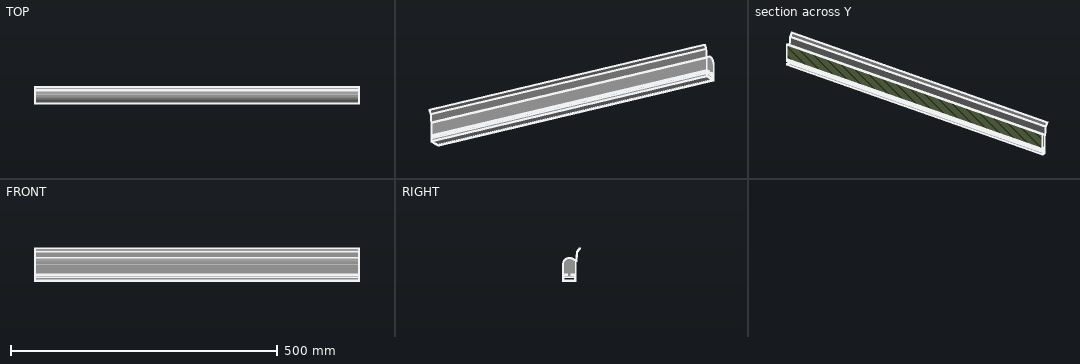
import cadquery as cq
import math

length = 609.5
width = 24.5

channel_height = 13.0
wall = 2.0
slot_width = 7.5

foot_bottom = 7.5
dome_start = 32.0
dome_radius = width / 2
roof_angle = math.radians(27.5)

fin_thickness = 1.0
fin_base_y = 25.5
fin_base_z = 38.0
fin_bend_y = 27.5
fin_bend_z = 55.0
fin_tip_y = 32.5
fin_tip_z = 62.0

roof_start_y = dome_radius * (1 + math.sin(roof_angle))
roof_start_z = dome_start + dome_radius * math.cos(roof_angle)
roof_end_z = roof_start_z - (width - roof_start_y) * math.tan(roof_angle)

tip_lean = math.atan2(fin_tip_y - fin_bend_y, fin_tip_z - fin_bend_z)
tip_front_y = fin_tip_y - fin_thickness * math.cos(tip_lean)
tip_back_z = fin_tip_z - fin_thickness * math.sin(tip_lean)

middle_y = width / 2
lip_bottom = channel_height - wall
slot_front = middle_y - slot_width / 2
slot_back = middle_y + slot_width / 2


def block(y_min, y_max, z_min, z_max):
    """Full-length rectangular block between the given Y and Z limits."""
    return cq.Workplane("XY").box(length, y_max - y_min, z_max - z_min, centered=False).translate(
        (0, y_min, z_min)
    )


def make_channel():
    """Hollow channel with a slot between the lips along its top."""
    outside = block(0, width, 0, channel_height)
    cavity = block(wall, width - wall, wall, lip_bottom)
    slot = block(slot_front, slot_back, lip_bottom, channel_height)
    return outside.cut(cavity).cut(slot)


def make_fin():
    """Leaning fin with its upper strip bent further back."""
    return (
        cq.Workplane("YZ")
        .moveTo(width, fin_base_z)
        .lineTo(fin_base_y, fin_base_z)
        .lineTo(fin_bend_y, fin_bend_z)
        .lineTo(fin_tip_y, tip_back_z)
        .lineTo(tip_front_y, fin_tip_z)
        .lineTo(fin_bend_y - fin_thickness, fin_bend_z)
        .lineTo(width, roof_end_z)
        .close()
        .extrude(length)
    )


def make_bar():
    """Domed bar with its back fin and the T-shaped foot below."""
    body = (
        cq.Workplane("YZ")
        .moveTo(0, channel_height)
        .lineTo(0, dome_start)
        .threePointArc((dome_radius, dome_start + dome_radius), (roof_start_y, roof_start_z))
        .lineTo(width, roof_end_z)
        .lineTo(width, channel_height)
        .close()
        .extrude(length)
    )
    neck = block(slot_front, slot_back, lip_bottom, channel_height)
    foot = block(wall, width - wall, foot_bottom, lip_bottom)
    return body.union(make_fin()).union(neck).union(foot).clean()


channel = make_channel()
bar = make_bar()

result = cq.Compound.makeCompound([channel.val(), bar.val()])